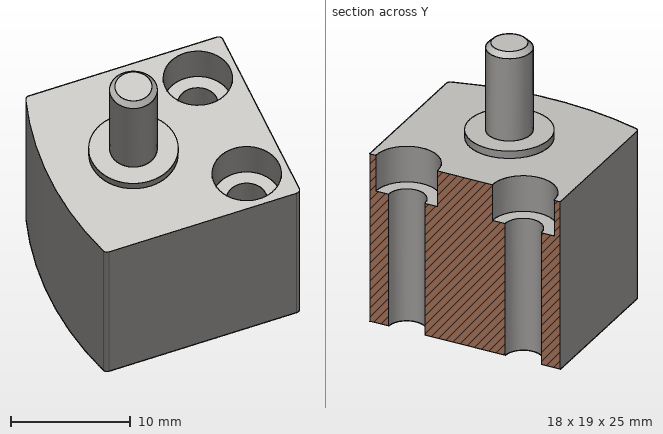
import cadquery as cq
import math

width = 18.0
height = 16.0
back_y = 11.5
front_y = -7.5
front_radius = 30.0
corner_radius = 0.4

hole_spacing = 11.0
hole_inset = 3.5
hole_diameter = 3.4
counterbore_diameter = 5.8
counterbore_depth = 3.4

total_height = 25.0
pin_diameter = 4.0
pin_chamfer = 0.45
collar_diameter = 7.5
collar_height = 0.7


def make_housing():
    half_width = width / 2
    bow = front_radius - math.sqrt(front_radius**2 - half_width**2)
    side_end_y = front_y + bow
    body = (
        cq.Workplane("XY")
        .moveTo(-half_width, back_y)
        .lineTo(-half_width, side_end_y)
        .threePointArc((0, front_y), (half_width, side_end_y))
        .lineTo(half_width, back_y)
        .close()
        .extrude(height)
        .edges("|Z")
        .fillet(corner_radius)
    )
    hole_y = back_y - hole_inset
    return (
        body.faces(">Z")
        .workplane(origin=(0, 0, height))
        .pushPoints([(side * hole_spacing / 2, hole_y) for side in (-1, 1)])
        .cboreHole(hole_diameter, counterbore_diameter, counterbore_depth)
    )


def make_pin():
    collar = cq.Workplane("XY", origin=(0, 0, height)).circle(collar_diameter / 2).extrude(collar_height)
    shaft = (
        cq.Workplane("XY", origin=(0, 0, height))
        .circle(pin_diameter / 2)
        .extrude(total_height - height)
        .faces(">Z")
        .chamfer(pin_chamfer)
    )
    return collar.union(shaft)


housing = make_housing()
pin = make_pin()

result = cq.Compound.makeCompound([housing.val(), pin.val()])